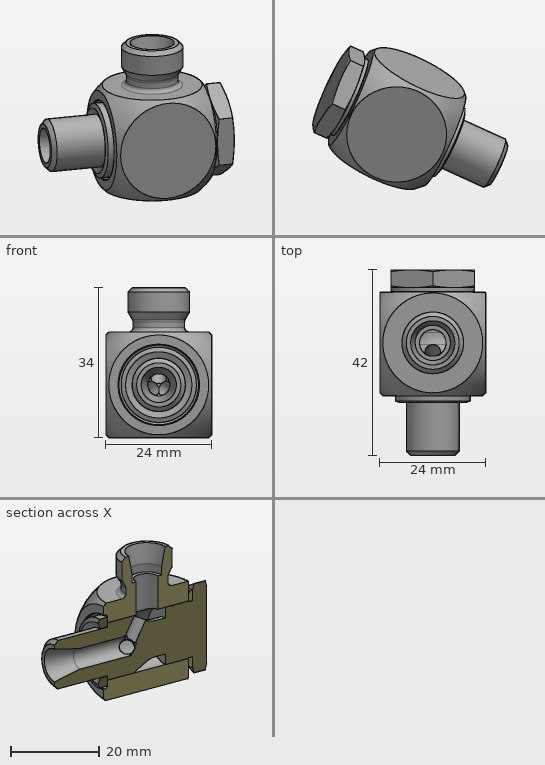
import cadquery as cq
import math


cube_size = 24.0
half_cube = cube_size / 2
housing_back = 11.5
flat_diameter = 22.6
sphere_radius = math.hypot(half_cube, flat_diameter / 2)
main_bore_diameter = 13.95
recess_diameter = 18.0
recess_depth = 1.0
recess_fillet = 0.4
recess_chamfer = 0.2
recess_floor = -half_cube + recess_depth

port_top = 22.0
port_diameter = 14.0
port_chamfer = 1.0
neck_diameter = 11.7
neck_fillet = 1.0
neck_upper_end = 14.3
flare_angle = math.radians(30)
port_bore_diameter = 6.0
port_seat_diameter = 8.0
port_seat_depth = 2.0
port_mouth_diameter = 10.0
port_cone_angle = math.radians(12)

bolt_back = 16.5
bolt_length = 42
bolt_front = bolt_back - bolt_length
hex_sides = 6
hex_across_flats = 19.0
hex_thickness = 4.0
hex_chamfer_angle = math.radians(15)
hex_front = bolt_back - hex_thickness
tube_diameter = 12.0
tube_chamfer = 1.0
waist_diameter = 9.0
waist_back = 5.0
waist_arc_start = 2.4
waist_arc_end = -0.38
waist_cone_angle = math.radians(30)
waist_arc_radius = (waist_arc_start - waist_arc_end) / math.sin(waist_cone_angle)
waist_arc_end_radius = waist_diameter / 2 + waist_arc_radius * (1 - math.cos(waist_cone_angle))
bolt_bore_diameter = 5.0
bolt_mouth_diameter = 8.0
bolt_cone_angle = math.radians(12)
bolt_bore_end = -4.4
bolt_bore_tip_angle = math.radians(60)
cross_hole_diameter = 3.5
cross_hole_count = 3
cross_hole_overrun = 0.85

front_ring_diameter = 17.0
front_ring_bore = 12.1
front_ring_rim_diameter = 15.0
front_ring_sink_angle = math.radians(68)
front_ring_front = -13.52
front_ring_chamfer_length = 0.38
back_ring_diameter = 19.0
back_ring_foot_diameter = 18.0
back_ring_foot_height = 0.13


def turned(profile):
    """Close and revolve a profile: about Y if it is drawn in the XY plane, about Z if in the XZ plane."""
    return profile.close().revolve(360, (0, 0, 0), (0, 1, 0))


def cylinder_on_y(diameter, y_start, y_end):
    radius = diameter / 2
    return turned(
        cq.Workplane("XY").moveTo(0, y_start).lineTo(radius, y_start).lineTo(radius, y_end).lineTo(0, y_end)
    )


def rounded_cube():
    length = half_cube + housing_back
    block = cq.Workplane("XY").box(cube_size, length, cube_size)
    block = block.translate((0, (housing_back - half_cube) / 2, 0))
    return block.intersect(cq.Workplane("XY").sphere(sphere_radius))


def port_outside():
    radius = port_diameter / 2
    neck_radius = neck_diameter / 2
    foot_end = half_cube + neck_fillet
    arc_radius = neck_radius + neck_fillet * (1 - math.cos(flare_angle))
    arc_top = neck_upper_end + neck_fillet * math.sin(flare_angle)
    mid_radius = neck_radius + neck_fillet * (1 - math.cos(flare_angle / 2))
    mid_height = neck_upper_end + neck_fillet * math.sin(flare_angle / 2)
    flare_top = arc_top + (radius - arc_radius) / math.tan(flare_angle)
    diagonal = neck_fillet * (1 - math.sqrt(0.5))
    return turned(
        cq.Workplane("XZ")
        .moveTo(0, 0)
        .lineTo(neck_radius + neck_fillet, 0)
        .lineTo(neck_radius + neck_fillet, half_cube)
        .threePointArc((neck_radius + diagonal, half_cube + diagonal), (neck_radius, foot_end))
        .lineTo(neck_radius, neck_upper_end)
        .threePointArc((mid_radius, mid_height), (arc_radius, arc_top))
        .lineTo(radius, flare_top)
        .lineTo(radius, port_top - port_chamfer)
        .lineTo(radius - port_chamfer, port_top)
        .lineTo(0, port_top)
    )


def port_bore():
    cone_depth = (port_mouth_diameter - port_seat_diameter) / 2 / math.tan(port_cone_angle)
    cone_end = port_top - cone_depth
    seat_height = cone_end - port_seat_depth
    return turned(
        cq.Workplane("XZ")
        .moveTo(0, 0)
        .lineTo(port_bore_diameter / 2, 0)
        .lineTo(port_bore_diameter / 2, seat_height)
        .lineTo(port_seat_diameter / 2, seat_height)
        .lineTo(port_seat_diameter / 2, cone_end)
        .lineTo(port_mouth_diameter / 2, port_top)
        .lineTo(0, port_top)
    )


def front_recess():
    recess = cylinder_on_y(recess_diameter, -half_cube, recess_floor)
    recess = recess.edges(">Y").fillet(recess_fillet)
    radius = recess_diameter / 2
    mouth = turned(
        cq.Workplane("XY")
        .moveTo(0, -half_cube)
        .lineTo(radius + recess_chamfer, -half_cube)
        .lineTo(radius, -half_cube + recess_chamfer)
        .lineTo(0, -half_cube + recess_chamfer)
    )
    return recess.union(mouth)


def make_housing():
    body = rounded_cube().union(port_outside())
    main_bore = cylinder_on_y(main_bore_diameter, -half_cube, housing_back)
    return body.cut(main_bore).cut(port_bore()).cut(front_recess())


def hex_head():
    corner_radius = hex_across_flats / 2 / math.cos(math.pi / hex_sides)
    flat_radius = hex_across_flats / 2
    chamfer_length = (corner_radius - flat_radius) * math.tan(hex_chamfer_angle)
    corner_angles = [k * 2 * math.pi / hex_sides for k in range(hex_sides)]
    corners = [(corner_radius * math.sin(angle), corner_radius * math.cos(angle)) for angle in corner_angles]
    prism = cq.Workplane("XZ", origin=(0, bolt_back, 0)).polyline(corners).close().extrude(hex_thickness)
    envelope = turned(
        cq.Workplane("XY")
        .moveTo(0, hex_front)
        .lineTo(flat_radius, hex_front)
        .lineTo(corner_radius, hex_front + chamfer_length)
        .lineTo(corner_radius, bolt_back - chamfer_length)
        .lineTo(flat_radius, bolt_back)
        .lineTo(0, bolt_back)
    )
    return prism.intersect(envelope)


def bolt_shank():
    land_radius = main_bore_diameter / 2
    waist_radius = waist_diameter / 2
    tube_radius = tube_diameter / 2
    arc_mid_radius = waist_radius + waist_arc_radius * (1 - math.cos(waist_cone_angle / 2))
    arc_mid_y = waist_arc_start - waist_arc_radius * math.sin(waist_cone_angle / 2)
    cone_end = waist_arc_end - (land_radius - waist_arc_end_radius) / math.tan(waist_cone_angle)
    return turned(
        cq.Workplane("XY")
        .moveTo(0, hex_front)
        .lineTo(land_radius, hex_front)
        .lineTo(land_radius, waist_back)
        .lineTo(waist_radius, waist_back)
        .lineTo(waist_radius, waist_arc_start)
        .threePointArc((arc_mid_radius, arc_mid_y), (waist_arc_end_radius, waist_arc_end))
        .lineTo(land_radius, cone_end)
        .lineTo(land_radius, recess_floor)
        .lineTo(tube_radius, recess_floor)
        .lineTo(tube_radius, bolt_front + tube_chamfer)
        .lineTo(tube_radius - tube_chamfer, bolt_front)
        .lineTo(0, bolt_front)
    )


def bolt_bore():
    bore_radius = bolt_bore_diameter / 2
    mouth_radius = bolt_mouth_diameter / 2
    cone_end = bolt_front + (mouth_radius - bore_radius) / math.tan(bolt_cone_angle)
    tip_end = bolt_bore_end + bore_radius / math.tan(bolt_bore_tip_angle)
    return turned(
        cq.Workplane("XY")
        .moveTo(0, bolt_front)
        .lineTo(mouth_radius, bolt_front)
        .lineTo(bore_radius, cone_end)
        .lineTo(bore_radius, bolt_bore_end)
        .lineTo(0, tip_end)
    )


def cross_hole():
    """Hole square to the waist cone, from the bolt axis out past the cone, its rim touching the arc."""
    radius = cross_hole_diameter / 2
    exit_y = waist_arc_end - radius * math.cos(waist_cone_angle)
    exit_z = waist_arc_end_radius + radius * math.sin(waist_cone_angle)
    start_y = exit_y - exit_z * math.tan(waist_cone_angle)
    length = exit_z / math.cos(waist_cone_angle) + cross_hole_overrun
    direction = cq.Vector(0, math.sin(waist_cone_angle), math.cos(waist_cone_angle))
    return cq.Solid.makeCylinder(radius, length, cq.Vector(0, start_y, 0), direction)


def make_bolt():
    bolt = hex_head().union(bolt_shank()).cut(bolt_bore())
    for k in range(cross_hole_count):
        angle = k * 360 / cross_hole_count
        bolt = bolt.cut(cq.Workplane(cross_hole().rotate((0, 0, 0), (0, 1, 0), angle)))
    return bolt


def make_front_ring():
    outer_radius = front_ring_diameter / 2
    rim_radius = front_ring_rim_diameter / 2
    bore_radius = front_ring_bore / 2
    countersink_end = front_ring_front + (rim_radius - bore_radius) / math.tan(front_ring_sink_angle)
    return turned(
        cq.Workplane("XY")
        .moveTo(bore_radius, recess_floor)
        .lineTo(outer_radius, recess_floor)
        .lineTo(outer_radius, front_ring_front + front_ring_chamfer_length)
        .lineTo(rim_radius, front_ring_front)
        .lineTo(bore_radius, countersink_end)
    )


def make_back_ring():
    bore_radius = main_bore_diameter / 2
    foot_top = housing_back + back_ring_foot_height
    return turned(
        cq.Workplane("XY")
        .moveTo(bore_radius, housing_back)
        .lineTo(back_ring_foot_diameter / 2, housing_back)
        .lineTo(back_ring_foot_diameter / 2, foot_top)
        .lineTo(back_ring_diameter / 2, foot_top)
        .lineTo(back_ring_diameter / 2, hex_front)
        .lineTo(bore_radius, hex_front)
    )


housing = make_housing()
bolt = make_bolt()
front_ring = make_front_ring()
back_ring = make_back_ring()

result = cq.Compound.makeCompound([housing.val(), bolt.val(), front_ring.val(), back_ring.val()])